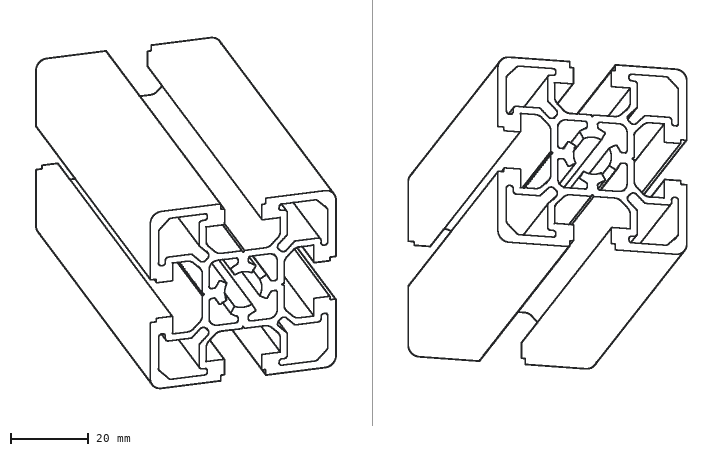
import cadquery as cq
import math

length = 100.0
side = 50.0
half_side = side / 2
corner_radius = 3.0

mouth_half_width = 5.0
step_half_width = 6.0
step_depth = 1.6
lip_thickness = 6.0
slot_half_width = 10.0
slot_floor = 11.0
slot_chamfer = 3.1
slot_blend = 2.5
groove_half_width = 0.35
groove_depth = 0.5
lip_blend = 0.25

wall = 1.85
outer_wall = 2.25
chamber_chamfer = 3.0
chamfer_blend = 1.0
pocket_end = 9.65
pocket_depth = 1.8
pocket_corner_blend = 0.8
pocket_blend = 0.8
channel_width = 2.9
channel_end_position = 9.85
channel_end_blend = 1.05
channel_mouth_blend = 0.4

core_blend = 2.2
bore_radius = 5.0
stem_half_width = 1.4
stem_blend = 0.65
hook_tip_blend = 0.3
hook_tip_x = 3.45
hook_tip_y = 6.35
hook_angle = math.radians(30)

overcut = 1.0


def prism(points):
    """Extrude a closed outline, given as (y, z) points, along the whole length."""
    return cq.Workplane("YZ").polyline(points).close().extrude(length)


def blend(solid, corners, radius):
    """Round the lengthwise edges that pass through the given (y, z) corners."""
    for y, z in corners:
        nearest = cq.selectors.NearestToPointSelector((length / 2, y, z))
        solid = solid.edges("|X").edges(nearest).fillet(radius)
    return solid


def mirrored(points):
    """Continue an outline with its mirror image across the z axis."""
    return points + [(-y, z) for y, z in reversed(points)]


def across_diagonal(points):
    """Mirror points across the y = z diagonal, in reverse order."""
    return [(z, y) for y, z in reversed(points)]


def turn(solid, quarter):
    """Rotate a solid about the profile axis by quarter turns."""
    return solid.rotate((0, 0, 0), (1, 0, 0), 90 * quarter)


def make_slot():
    """T-slot in the +Z side, with stepped mouth and a marking groove in its floor."""
    step_floor = half_side - step_depth
    lip_underside = half_side - lip_thickness
    upper_bend = (slot_half_width, slot_floor + slot_chamfer)
    lower_bend = (slot_half_width - slot_chamfer, slot_floor)
    lip_corners = [
        (step_half_width, half_side),
        (step_half_width, step_floor),
        (mouth_half_width, step_floor),
        (mouth_half_width, lip_underside),
    ]
    slot = prism(mirrored([
        (step_half_width + overcut, half_side + overcut),
        (step_half_width + overcut, half_side),
        *lip_corners,
        (slot_half_width, lip_underside),
        upper_bend,
        lower_bend,
    ]))
    slot = blend(slot, mirrored(lip_corners), lip_blend)
    slot = blend(slot, mirrored([upper_bend, lower_bend]), slot_blend)
    groove = prism([
        (-groove_half_width, slot_floor),
        (groove_half_width, slot_floor),
        (0, slot_floor - groove_depth),
    ])
    return slot.union(groove)


def make_chamber():
    """Hollow in the +Y +Z corner, with two side pockets and a diagonal channel towards the core."""
    outer = half_side - outer_wall
    inner = slot_half_width + wall
    pocket_floor = outer - pocket_depth
    channel_offset = channel_width / 2 * math.sqrt(2)
    channel_end_near = channel_end_position - channel_offset / 2
    channel_end_far = channel_end_position + channel_offset / 2

    chamfer_end = (outer - chamber_chamfer, outer)
    pocket_corner = (pocket_end, outer)
    pocket_bends = [(pocket_end, pocket_floor), (inner, pocket_floor)]
    channel_mouth = (inner, inner + channel_offset)
    channel_corner = (channel_end_near, channel_end_far)
    upper_half = [chamfer_end, pocket_corner, *pocket_bends, channel_mouth, channel_corner]

    chamber = prism(upper_half + across_diagonal(upper_half))
    blends = [
        ([chamfer_end], chamfer_blend),
        ([pocket_corner], pocket_corner_blend),
        (pocket_bends, pocket_blend),
        ([channel_mouth], channel_mouth_blend),
        ([channel_corner], channel_end_blend),
    ]
    for corners, radius in blends:
        chamber = blend(chamber, corners + across_diagonal(corners), radius)
    return chamber


def make_core():
    """Rounded square hollow in the middle of the profile."""
    core_size = 2 * (slot_floor - wall)
    core = cq.Workplane("YZ").rect(core_size, core_size).extrude(length)
    return core.edges("|X").fillet(core_blend)


def make_hook():
    """Anchor-shaped rib hanging from the +Z wall of the core, ending at the bore."""
    root = slot_floor - wall
    neck = (stem_half_width, hook_tip_y + (hook_tip_x - stem_half_width) * math.tan(hook_angle))
    root_corner = (stem_half_width, root)
    flank_foot_z = bore_radius / 2
    flank_foot_y = hook_tip_x - (hook_tip_y - flank_foot_z) * math.tan(hook_angle)
    hook = prism(mirrored([
        (2 * stem_half_width, root + wall / 2),
        (2 * stem_half_width, root),
        root_corner,
        neck,
        (hook_tip_x, hook_tip_y),
        (flank_foot_y, flank_foot_z),
    ]))
    hook = blend(hook, mirrored([root_corner, neck]), stem_blend)
    hook = blend(hook, mirrored([(hook_tip_x, hook_tip_y)]), hook_tip_blend)
    bore = cq.Workplane("YZ").circle(bore_radius).extrude(length)
    return hook.cut(bore)


bar = cq.Workplane("YZ").rect(side, side).extrude(length).edges("|X").fillet(corner_radius)
bar = bar.cut(make_core())
slot = make_slot()
chamber = make_chamber()
hook = make_hook()
for quarter in range(4):
    bar = bar.cut(turn(slot, quarter))
    bar = bar.cut(turn(chamber, quarter))
    bar = bar.union(turn(hook, quarter))

result = bar.translate((-length / 2, 0, 0))